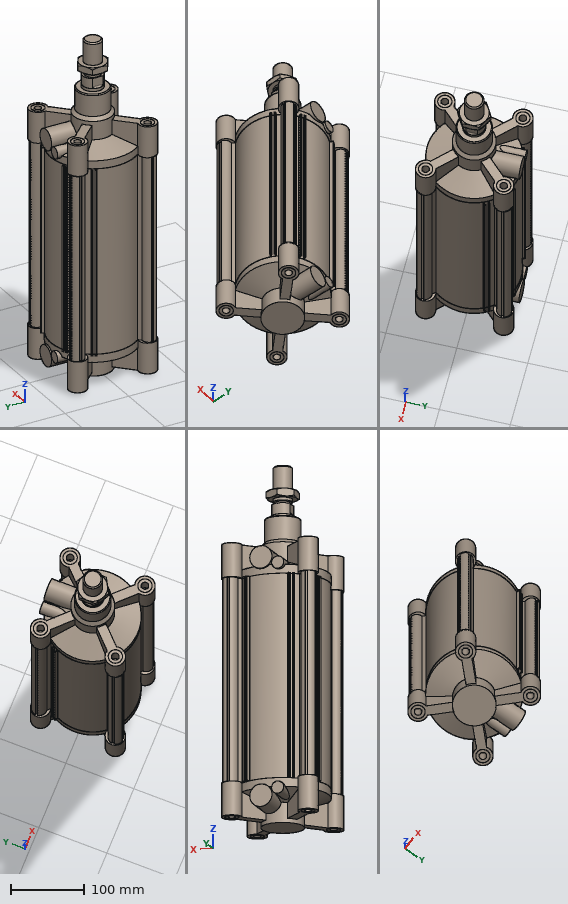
import cadquery as cq
import math


SPIGOT_LENGTH = 6.0
BODY_LENGTH = 385.0
CAP_HEIGHT = 48.0
BOSS_PITCH = 110.0
BOSS_DIAMETER = 28.0
OVERALL_WIDTH = BOSS_PITCH + BOSS_DIAMETER

REAR_FACE_Z = SPIGOT_LENGTH
BARREL_BOTTOM_Z = REAR_FACE_Z + CAP_HEIGHT
FRONT_FACE_Z = REAR_FACE_Z + BODY_LENGTH
BARREL_TOP_Z = FRONT_FACE_Z - CAP_HEIGHT

RIM_DIAMETER = 133.0
RIM_HEIGHT = 12.5
CONE_TOP_HEIGHT = 25.5
HUB_DIAMETER = 60.0
HUB_ABOVE_FACE = 6.0
NECK_DIAMETER = 50.0
NECK_ABOVE_FACE = 45.0
NECK_CHAMFER = 1.5
RIB_WIDTH = 14.0
SCREW_RECESS_DIAMETER = 19.5
SCREW_RECESS_DEPTH = 0.5
SCREW_HOLE_DIAMETER = 10.25
SCREW_HOLE_DEPTH = 24.0
PORT_DIAMETER = 32.0
PORT_X = 8.5
PORT_HEIGHT = CAP_HEIGHT / 2
CUSHION_BOSS_DIAMETER = 17.5
CUSHION_BOSS_X = -15.8
CUSHION_BOSS_HEIGHT = 14.6

BARREL_DIAMETER = 132.0
COLUMN_DIAMETER = 21.5
COLUMN_OFFSET = 56.35
COLUMN_WEB_WIDTH = 14.0
COLUMN_GROOVE_WIDTH = 3.0
COLUMN_GROOVE_DEPTH = 1.5
RAIL_ANGLES = (28.0, 62.0, 118.0, 152.0)
RAIL_TOP_RADIUS = 71.5
RAIL_THICKNESS = 1.2
RAIL_GAP = 6.0
RAIL_LIP = 1.5

ROD_DIAMETER = 32.0
ROD_SHOULDER_ABOVE_FACE = 65.0
THREAD_DIAMETER = 27.0
THREAD_LENGTH = 54.0
THREAD_CHAMFER = 2.0
UNDERCUT_DIAMETER = 24.5
UNDERCUT_LENGTH = 4.5
ROD_END_DIAMETER = 31.5
FLATS_WIDTH = 27.0
FLATS_RUNOUT_RADIUS = 2.5
ROD_END_LENGTH = 15.5
NUT_ACROSS_FLATS = 41.0
NUT_THICKNESS = 11.0
NUT_ABOVE_SHOULDER = 8.5
NUT_CHAMFER_ANGLE = 30.0
HEX_HALF_ANGLE = 30.0

ROD_SHOULDER_Z = FRONT_FACE_Z + ROD_SHOULDER_ABOVE_FACE
ROD_TIP_Z = ROD_SHOULDER_Z + THREAD_LENGTH

DIAGONALS = (45, -45)
CORNERS = [(sx, sy) for sx in (-1, 1) for sy in (-1, 1)]


def cylinder(diameter, bottom, top, x=0.0, y=0.0):
    """Upright cylinder between two levels."""
    return (
        cq.Workplane("XY", origin=(x, y, bottom))
        .circle(diameter / 2)
        .extrude(top - bottom)
    )


def box(length, width, bottom, top):
    """Upright block centred on the Z axis."""
    return cq.Workplane("XY", origin=(0, 0, bottom)).rect(length, width).extrude(top - bottom)


def revolved(points):
    """Solid of revolution about Z from (radius, z) points; closed along the axis."""
    return cq.Workplane("XZ").polyline(points).close().revolve(360, (0, 0), (0, 1))


def side_boss(diameter, x, z):
    """Horizontal round boss running from the cap axis to the +Y side."""
    return (
        cq.Workplane("XZ", origin=(x, 0, z))
        .circle(diameter / 2)
        .extrude(-OVERALL_WIDTH / 2)
    )


def make_cap_base():
    """Features common to both caps: z = 0 is the barrel end, CAP_HEIGHT the outer face."""
    hub_r = HUB_DIAMETER / 2
    rim_r = RIM_DIAMETER / 2
    cap = revolved([
        (0, 0),
        (rim_r, 0),
        (rim_r, RIM_HEIGHT),
        (hub_r, CONE_TOP_HEIGHT),
        (hub_r, CAP_HEIGHT + HUB_ABOVE_FACE),
        (0, CAP_HEIGHT + HUB_ABOVE_FACE),
    ])
    rib_length = BOSS_PITCH * math.sqrt(2)
    rib = box(rib_length, RIB_WIDTH, 0, CAP_HEIGHT)
    for angle in DIAGONALS:
        cap = cap.union(rib.rotate((0, 0, 0), (0, 0, 1), angle))
    cap = cap.union(side_boss(PORT_DIAMETER, PORT_X, PORT_HEIGHT))
    cap = cap.union(side_boss(CUSHION_BOSS_DIAMETER, CUSHION_BOSS_X, CUSHION_BOSS_HEIGHT))
    for sx, sy in CORNERS:
        x = sx * BOSS_PITCH / 2
        y = sy * BOSS_PITCH / 2
        cap = cap.union(cylinder(BOSS_DIAMETER, 0, CAP_HEIGHT, x, y))
        recess_floor = CAP_HEIGHT - SCREW_RECESS_DEPTH
        cap = cap.cut(cylinder(SCREW_RECESS_DIAMETER, recess_floor, CAP_HEIGHT, x, y))
        cap = cap.cut(cylinder(SCREW_HOLE_DIAMETER, CAP_HEIGHT - SCREW_HOLE_DEPTH, CAP_HEIGHT, x, y))
    return cap


def make_front_cap():
    """Cap with the guide neck and the bore for the piston rod."""
    neck_base = CAP_HEIGHT + HUB_ABOVE_FACE
    neck_top = CAP_HEIGHT + NECK_ABOVE_FACE
    hub_r = HUB_DIAMETER / 2
    neck_r = NECK_DIAMETER / 2
    neck = revolved([
        (0, neck_base),
        (hub_r, neck_base),
        (neck_r, neck_base + hub_r - neck_r),
        (neck_r, neck_top - NECK_CHAMFER),
        (neck_r - NECK_CHAMFER, neck_top),
        (0, neck_top),
    ])
    cap = make_cap_base().union(neck)
    cap = cap.cut(cylinder(ROD_DIAMETER, 0, neck_top))
    return cap.translate((0, 0, BARREL_TOP_Z))


def make_rear_cap():
    """Cap turned upside down; its hub ends as the rear spigot."""
    return make_cap_base().mirror("XY").translate((0, 0, BARREL_BOTTOM_Z))


def make_sensor_rails():
    """Pair of lipped rails along +X whose lips face each other across the slot."""
    root = BARREL_DIAMETER / 2 - RAIL_THICKNESS
    inner = RAIL_GAP / 2
    outer = inner + RAIL_THICKNESS
    lip_bottom = RAIL_TOP_RADIUS - RAIL_THICKNESS
    rail = (
        cq.Workplane("XY", origin=(0, 0, BARREL_BOTTOM_Z))
        .polyline([
            (root, inner),
            (lip_bottom, inner),
            (lip_bottom, inner - RAIL_LIP),
            (RAIL_TOP_RADIUS, inner - RAIL_LIP),
            (RAIL_TOP_RADIUS, outer),
            (root, outer),
        ])
        .close()
        .extrude(BARREL_TOP_Z - BARREL_BOTTOM_Z)
    )
    return rail.union(rail.mirror("XZ"))


def make_barrel():
    """Round barrel with four corner columns and four sensor slots."""
    bottom = BARREL_BOTTOM_Z
    top = BARREL_TOP_Z
    barrel = cylinder(BARREL_DIAMETER, bottom, top)
    web = box(2 * math.sqrt(2) * COLUMN_OFFSET, COLUMN_WEB_WIDTH, bottom, top)
    for angle in DIAGONALS:
        barrel = barrel.union(web.rotate((0, 0, 0), (0, 0, 1), angle))
    for sx, sy in CORNERS:
        barrel = barrel.union(
            cylinder(COLUMN_DIAMETER, bottom, top, sx * COLUMN_OFFSET, sy * COLUMN_OFFSET)
        )
    rails = make_sensor_rails()
    for angle in RAIL_ANGLES:
        barrel = barrel.union(rails.rotate((0, 0, 0), (0, 0, 1), angle))

    side = COLUMN_OFFSET + COLUMN_DIAMETER / 2
    for sx, sy in CORNERS:
        on_x = box(2 * COLUMN_GROOVE_DEPTH, COLUMN_GROOVE_WIDTH, bottom, top)
        on_y = box(COLUMN_GROOVE_WIDTH, 2 * COLUMN_GROOVE_DEPTH, bottom, top)
        barrel = barrel.cut(on_x.translate((sx * side, sy * COLUMN_OFFSET, 0)))
        barrel = barrel.cut(on_y.translate((sx * COLUMN_OFFSET, sy * side, 0)))
    return barrel


def make_rod():
    """Piston rod with wrench flats, thread undercut and chamfered thread end."""
    rod_r = ROD_DIAMETER / 2
    rod_end_r = ROD_END_DIAMETER / 2
    rod_end_z = ROD_SHOULDER_Z - ROD_END_LENGTH
    thread_r = THREAD_DIAMETER / 2
    undercut_r = UNDERCUT_DIAMETER / 2
    undercut_top = ROD_SHOULDER_Z + UNDERCUT_LENGTH
    undercut_taper = thread_r - undercut_r
    rod = revolved([
        (0, BARREL_TOP_Z),
        (rod_r, BARREL_TOP_Z),
        (rod_r, rod_end_z),
        (rod_end_r, rod_end_z),
        (rod_end_r, ROD_SHOULDER_Z),
        (undercut_r, ROD_SHOULDER_Z),
        (undercut_r, undercut_top - undercut_taper),
        (thread_r, undercut_top),
        (thread_r, ROD_TIP_Z - THREAD_CHAMFER),
        (thread_r - THREAD_CHAMFER, ROD_TIP_Z),
        (0, ROD_TIP_Z),
    ])
    flat_x = FLATS_WIDTH / 2
    outer_x = flat_x + FLATS_RUNOUT_RADIUS
    flat_bottom = rod_end_z + FLATS_RUNOUT_RADIUS
    arc_drop = FLATS_RUNOUT_RADIUS * math.sqrt(0.5)
    cutter = (
        cq.Workplane("XZ")
        .moveTo(flat_x, ROD_SHOULDER_Z)
        .lineTo(flat_x, flat_bottom)
        .threePointArc((outer_x - arc_drop, flat_bottom - arc_drop), (outer_x, rod_end_z))
        .lineTo(outer_x, ROD_SHOULDER_Z)
        .close()
        .extrude(rod_r, both=True)
    )
    return rod.cut(cutter).cut(cutter.mirror("YZ"))


def make_nut():
    """Thin hexagon nut with corners on the Y axis, chamfered on both faces."""
    bottom = ROD_SHOULDER_Z + NUT_ABOVE_SHOULDER
    top = bottom + NUT_THICKNESS
    flat_r = NUT_ACROSS_FLATS / 2
    corner_r = flat_r / math.cos(math.radians(HEX_HALF_ANGLE))
    chamfer = (corner_r - flat_r) * math.tan(math.radians(NUT_CHAMFER_ANGLE))
    hexagon = (
        cq.Workplane("XY", origin=(0, 0, bottom))
        .polygon(6, 2 * corner_r)
        .extrude(NUT_THICKNESS)
        .rotate((0, 0, 0), (0, 0, 1), HEX_HALF_ANGLE)
    )
    envelope = revolved([
        (0, bottom),
        (flat_r, bottom),
        (corner_r, bottom + chamfer),
        (corner_r, top - chamfer),
        (flat_r, top),
        (0, top),
    ])
    return hexagon.intersect(envelope).cut(cylinder(THREAD_DIAMETER, bottom, top))


front_cap = make_front_cap()
rear_cap = make_rear_cap()
barrel = make_barrel()
rod = make_rod()
nut = make_nut()

result = cq.Compound.makeCompound([
    front_cap.val(),
    rear_cap.val(),
    barrel.val(),
    rod.val(),
    nut.val(),
])